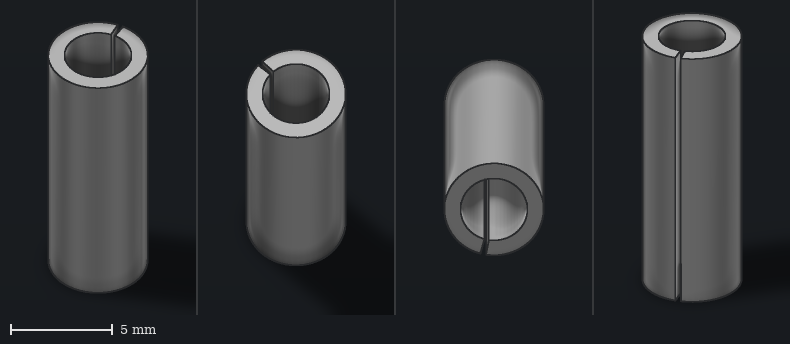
import cadquery as cq

length = 13.5
outer_diameter = 4.9
bore_diameter = 3.3
slit_width_inside = 0.22
slit_width_outside = 0.28

outer_radius = outer_diameter / 2
bore_radius = bore_diameter / 2

tube = cq.Workplane("XY").circle(outer_radius).circle(bore_radius).extrude(length)


def slit_cutter():
    """Full-length wedge through the +Y wall, slightly wider at the outside."""
    wall = outer_radius - bore_radius
    overrun = wall / 2
    flare = (slit_width_outside - slit_width_inside) / 2 / wall * overrun
    inner_half = slit_width_inside / 2 - flare
    outer_half = slit_width_outside / 2 + flare
    inner_y = bore_radius - overrun
    outer_y = outer_radius + overrun
    corners = [
        (-inner_half, inner_y),
        (inner_half, inner_y),
        (outer_half, outer_y),
        (-outer_half, outer_y),
    ]
    return cq.Workplane("XY").polyline(corners).close().extrude(length)


result = tube.cut(slit_cutter())